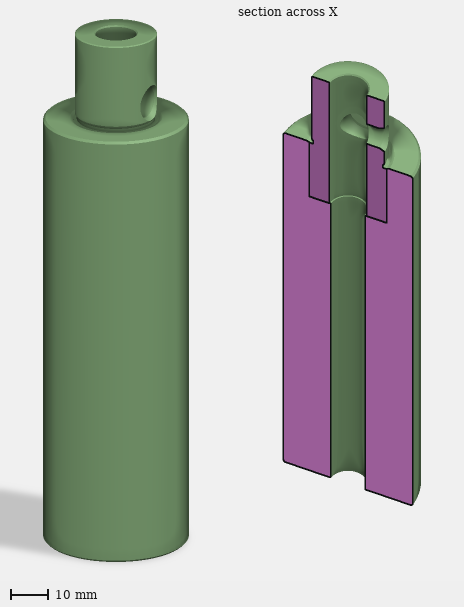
import cadquery as cq

BODY_DIAMETER = 39.0
BODY_LENGTH = 120.0
TOTAL_LENGTH = 144.0
BODY_EDGE_CHAMFER = 0.6

HOUSING_BORE_DIAMETER = 10.2
BORE_DIAMETER = 11.0
BORE_MOUTH_DIAMETER = 11.7
BORE_MOUTH_CHAMFER = (BORE_MOUTH_DIAMETER - BORE_DIAMETER) / 2

SEAT_DIAMETER = 23.0
SEAT_DEPTH = 20.0
SEAT_BOTTOM = BODY_LENGTH - SEAT_DEPTH
RIM_DIAMETER = 24.8
RIM_DEPTH = 0.4
SEAT_TOP = BODY_LENGTH - RIM_DEPTH

SPIGOT_DIAMETER = 22.0
SPIGOT_EDGE_WIDTH = 0.4
SPIGOT_EDGE_HEIGHT = 0.2
NECK_DIAMETER = 21.0
NECK_TOP = BODY_LENGTH + 0.5
NECK_CONE_TOP = BODY_LENGTH + 1.3

HOLE_MOUTH_DEPTH = 1.6

CROSS_HOLE_DIAMETER = 8.4
CROSS_MOUTH_DIAMETER = 10.0
CROSS_HOLE_Z = 126.0
CROSS_HOLE_TURNS = (0, 180)

SIDE_HOLE_DIAMETER = 7.0
SIDE_MOUTH_DIAMETER = 8.5
SIDE_HOLE_Z = 129.8
SIDE_HOLE_TURN = 90


def make_housing():
    """Round housing with chamfered ends, a through bore and a seat for the spigot."""
    housing = (
        cq.Workplane("XY")
        .circle(BODY_DIAMETER / 2)
        .extrude(BODY_LENGTH)
        .faces("<Z or >Z")
        .chamfer(BODY_EDGE_CHAMFER)
    )
    bore = cq.Workplane("XY").circle(HOUSING_BORE_DIAMETER / 2).extrude(BODY_LENGTH)
    seat = (
        cq.Workplane("XZ")
        .moveTo(0, SEAT_BOTTOM)
        .lineTo(SEAT_DIAMETER / 2, SEAT_BOTTOM)
        .lineTo(SEAT_DIAMETER / 2, SEAT_TOP)
        .lineTo(RIM_DIAMETER / 2, BODY_LENGTH)
        .lineTo(0, BODY_LENGTH)
        .close()
        .revolve(360, (0, 0), (0, 1))
    )
    return housing.cut(bore).cut(seat)


def make_radial_hole_cutter(height, diameter, mouth_diameter, turn):
    """Cutter from the spigot's axis outward, with a conical mouth at the spigot's surface.

    It points along +X, turned by the given angle about Z.
    """
    reach = SPIGOT_DIAMETER / 2
    return (
        cq.Workplane("XY")
        .lineTo(0, diameter / 2)
        .lineTo(reach - HOLE_MOUTH_DEPTH, diameter / 2)
        .lineTo(reach, mouth_diameter / 2)
        .lineTo(reach, 0)
        .close()
        .revolve(360, (0, 0), (1, 0))
        .translate((0, 0, height))
        .rotate((0, 0, 0), (0, 0, 1), turn)
    )


def make_spigot():
    """Hollow spigot seated in the housing, with a narrow neck and radial holes above it."""
    spigot = (
        cq.Workplane("XZ")
        .moveTo(BORE_DIAMETER / 2, SEAT_BOTTOM)
        .lineTo(SEAT_DIAMETER / 2, SEAT_BOTTOM)
        .lineTo(SEAT_DIAMETER / 2, SEAT_TOP)
        .lineTo(NECK_DIAMETER / 2, SEAT_TOP)
        .lineTo(NECK_DIAMETER / 2, NECK_TOP)
        .lineTo(SPIGOT_DIAMETER / 2, NECK_CONE_TOP)
        .lineTo(SPIGOT_DIAMETER / 2, TOTAL_LENGTH - SPIGOT_EDGE_HEIGHT)
        .lineTo(SPIGOT_DIAMETER / 2 - SPIGOT_EDGE_WIDTH, TOTAL_LENGTH)
        .lineTo(BORE_MOUTH_DIAMETER / 2, TOTAL_LENGTH)
        .lineTo(BORE_DIAMETER / 2, TOTAL_LENGTH - BORE_MOUTH_CHAMFER)
        .close()
        .revolve(360, (0, 0), (0, 1))
    )
    for turn in CROSS_HOLE_TURNS:
        spigot = spigot.cut(
            make_radial_hole_cutter(CROSS_HOLE_Z, CROSS_HOLE_DIAMETER, CROSS_MOUTH_DIAMETER, turn)
        )
    return spigot.cut(
        make_radial_hole_cutter(SIDE_HOLE_Z, SIDE_HOLE_DIAMETER, SIDE_MOUTH_DIAMETER, SIDE_HOLE_TURN)
    )


housing = make_housing()
spigot = make_spigot()
result = cq.Compound.makeCompound([housing.val(), spigot.val()])